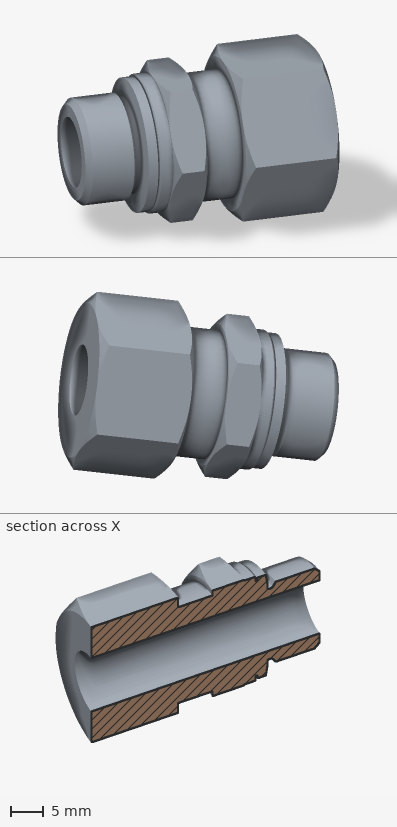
import cadquery as cq
import math

length = 39.4
bore_diameter = 11.0

nut_flats = 24.0
nut_start = 24.4
body_hex_flats = 22.0
body_hex_start = 13.05
body_hex_end = 18.5
hex_chamfer_angle = 30.0

shank_diameter = 20.0
collar_diameter = 21.67
collar_start = 11.05
collar_bevel = 0.2

seal_diameter = 21.0
seal_start = 9.25
seal_end = 10.8
gap_diameter = 19.78
seal_tip_start = 9.0
seal_tip_diameter = 17.18

thread_diameter = 16.7
thread_end = 7.6
thread_chamfer = 0.9
neck_diameter = 14.65
neck_bottom = 8.65
thread_flank_angle = 30.0


def revolve_profile(points):
    """Revolve (radius, Y) points about the Y axis."""
    return cq.Workplane("XY").polyline(points).close().revolve(360, (0, 0, 0), (0, 1, 0))


def chamfered_hexagon(flats, start, end):
    """Hexagonal prism with both ends turned to a cone that meets the flats' inscribed circle."""
    corner_diameter = flats / math.cos(math.pi / 6)
    inner = flats / 2
    outer = corner_diameter / 2
    drop = (outer - inner) * math.tan(math.radians(hex_chamfer_angle))
    prism = (
        cq.Workplane("XZ", origin=(0, start, 0))
        .polygon(6, corner_diameter)
        .extrude(start - end)
    )
    envelope = revolve_profile([
        (0, start),
        (inner, start),
        (outer, start + drop),
        (outer, end - drop),
        (inner, end),
        (0, end),
    ])
    return prism.intersect(envelope)


def turned_body():
    """Threaded spigot, neck, sealing ring, collar and shank in one profile."""
    thread_radius = thread_diameter / 2
    neck_radius = neck_diameter / 2
    flare_radius = seal_tip_start - neck_bottom
    flare_mid = flare_radius * (1 - math.sqrt(0.5))

    flank = math.radians(thread_flank_angle)
    flank_depth = thread_radius - neck_radius
    flank_space = neck_bottom - thread_end - flank_depth * math.tan(flank)
    undercut_radius = flank_space / (math.cos(flank) - (1 - math.sin(flank)) * math.tan(flank))

    def undercut_point(angle):
        return (
            neck_radius + undercut_radius * (1 - math.sin(angle)),
            neck_bottom - undercut_radius * math.cos(angle),
        )

    seal_radius = seal_diameter / 2
    gap_radius = gap_diameter / 2
    collar_radius = collar_diameter / 2
    shank_radius = shank_diameter / 2
    profile = (
        cq.Workplane("XY")
        .moveTo(0, 0)
        .lineTo(thread_radius - thread_chamfer, 0)
        .lineTo(thread_radius, thread_chamfer)
        .lineTo(thread_radius, thread_end)
        .lineTo(*undercut_point(flank))
        .threePointArc(undercut_point((flank + math.pi / 2) / 2), (neck_radius, neck_bottom))
        .threePointArc(
            (neck_radius + flare_mid, seal_tip_start - flare_mid),
            (neck_radius + flare_radius, seal_tip_start),
        )
        .lineTo(seal_tip_diameter / 2, seal_tip_start)
        .lineTo(seal_radius, seal_start)
        .lineTo(seal_radius, seal_end)
        .lineTo(gap_radius, seal_end)
        .lineTo(gap_radius, collar_start)
        .lineTo(collar_radius - collar_bevel, collar_start)
        .lineTo(collar_radius, collar_start + collar_bevel)
        .lineTo(collar_radius, body_hex_start)
        .lineTo(shank_radius, body_hex_start)
        .lineTo(shank_radius, length)
        .lineTo(0, length)
        .close()
    )
    return profile.revolve(360, (0, 0, 0), (0, 1, 0))


def through_bore():
    return cq.Workplane("XZ").circle(bore_diameter / 2).extrude(-length)


result = (
    turned_body()
    .union(chamfered_hexagon(body_hex_flats, body_hex_start, body_hex_end))
    .union(chamfered_hexagon(nut_flats, nut_start, length))
    .cut(through_bore())
)